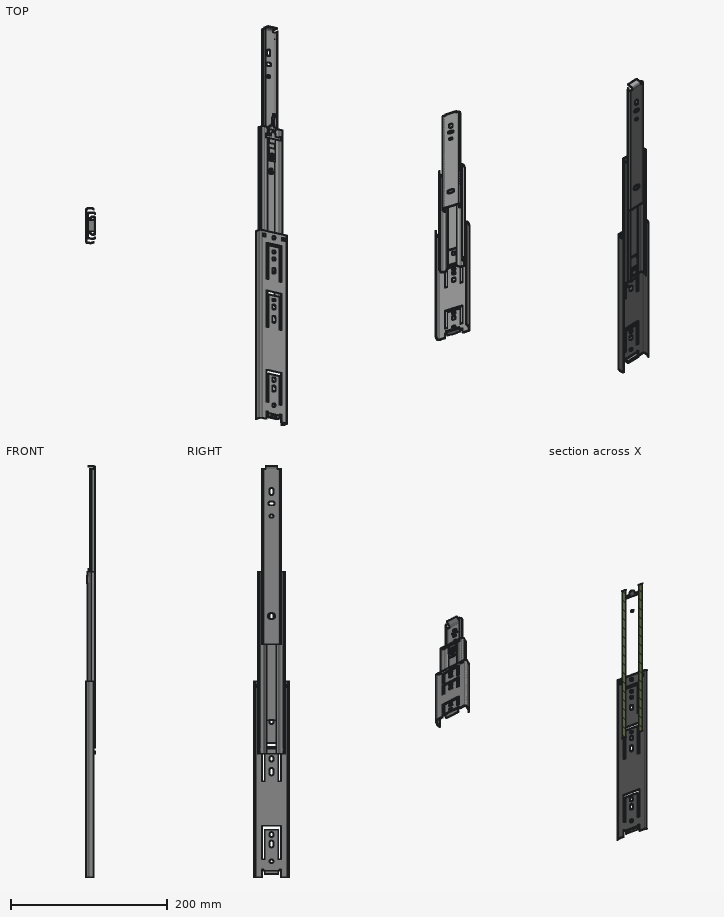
import cadquery as cq
import math


SLIDE_LENGTH = 525.0
SLIDE_DEPTH = 12.0
SHEET = 1.2
RACE_BULGE = 0.3
BEND_SHARE = math.tan(math.pi / 8)
BEVEL_RUN = SHEET * BEND_SHARE

OUTER_WIDTH = 45.5
OUTER_HALF_WIDTH = OUTER_WIDTH / 2
OUTER_TOP = 250.5
OUTER_CORNER = 2.5
OUTER_RACE_START = 3.5
OUTER_RACE_END = 8.5
OUTER_LIP_END = 10.5
OUTER_LIP_TURN = 1.0

MIDDLE_BACK = 2.0
MIDDLE_HALF_WIDTH = 17.5
MIDDLE_BOTTOM = 157.5
MIDDLE_TOP = 390.0
MIDDLE_CORNER = 2.5
CHANNEL_HALF_WIDTH = 6.0
CHANNEL_DEPTH = 3.5
CHANNEL_FLOOR = MIDDLE_BACK + CHANNEL_DEPTH
CHANNEL_BEND = 2.5
MIDDLE_RACE_START = 7.0
MIDDLE_RACE_TURN = 1.0

INNER_HALF_WIDTH = 12.0
INNER_EDGE = 5.0
INNER_FLANGE_TURN = 2.0
INNER_CORNER_TURN = 1.0
INNER_SHOULDER = 521.5
INNER_BOTTOM = MIDDLE_TOP - (OUTER_TOP - MIDDLE_BOTTOM)
TAB_HALF_WIDTH = 7.5
TAB_EDGE = 3.0
TAB_BEND = 2.0

SCREW_HOLE = 4.5


def half_profile(start):
    """Section sketch in the XY plane, started on the symmetry line."""
    return cq.Workplane("XY").moveTo(*start)


def rail(half_section, bottom, top):
    """Extrude the +Y half of a section from bottom to top and add its mirror image."""
    half = half_section.close().extrude(top - bottom).translate((0, 0, bottom))
    return half.union(half.mirror("XZ")).clean()


def corner_middle(center_x, center_y, radius):
    """Middle point of the arc that rounds a corner on the -X, +Y side of its centre."""
    reach = radius * math.sqrt(0.5)
    return (center_x - reach, center_y + reach)


def block(x_range, y_range, z_range):
    """Box given by its limits along each axis."""
    limits = (x_range, y_range, z_range)
    size = [high - low for low, high in limits]
    return cq.Workplane("XY").box(*size, centered=False).translate([low for low, _ in limits])


def through(z, width, height):
    """Cutter along X at height z: round, or long with round ends."""
    plane = cq.Workplane("YZ").center(0, z)
    if width == height:
        sketch = plane.circle(width / 2)
    elif height > width:
        sketch = plane.slot2D(height, width, 90)
    else:
        sketch = plane.slot2D(width, height)
    return sketch.extrude(SLIDE_DEPTH)


def cut_holes(body, holes):
    for z, width, height in holes:
        body = body.cut(through(z, width, height))
    return body


WINDOW_HALF_WIDTH = 12.0
TONGUE_HALF_WIDTH = 9.0
WINDOWS = [(234.5, 232.0, 187.0), (171.0, 166.5, 123.0), (65.5, 61.0, 23.0)]
OUTER_HOLES = [
    (243.5, SCREW_HOLE, SCREW_HOLE),
    (224.5, SCREW_HOLE, SCREW_HOLE),
    (215.0, SCREW_HOLE, SCREW_HOLE),
    (199.5, SCREW_HOLE, 8.0),
    (160.5, SCREW_HOLE, 3.0),
    (151.0, SCREW_HOLE, 7.0),
    (135.0, SCREW_HOLE, 9.5),
    (54.5, SCREW_HOLE, 6.5),
    (42.5, SCREW_HOLE, 8.5),
    (20.5, SCREW_HOLE, SCREW_HOLE),
]
SIDE_HOLE_Y = (13.5, 18.0)
SIDE_HOLE_Z = (242.5, 246.0)
NOTCH_TOP = 8.5
NOTCH_RELIEF = 2.0
NOTCH_RELIEF_RISE = 1.5


def outer_section():
    outside = OUTER_HALF_WIDTH - RACE_BULGE
    inside = outside - SHEET
    race_middle = (OUTER_RACE_START + OUTER_RACE_END) / 2
    corner_y = outside - OUTER_CORNER
    return (
        half_profile((0, 0))
        .lineTo(0, corner_y)
        .threePointArc(corner_middle(OUTER_CORNER, corner_y, OUTER_CORNER), (OUTER_CORNER, outside))
        .lineTo(OUTER_RACE_START, outside)
        .threePointArc((race_middle, OUTER_HALF_WIDTH), (OUTER_RACE_END, outside))
        .lineTo(OUTER_LIP_END, outside - OUTER_LIP_TURN)
        .lineTo(OUTER_LIP_END, inside - OUTER_LIP_TURN)
        .lineTo(OUTER_RACE_END, inside)
        .threePointArc((race_middle, inside + RACE_BULGE), (OUTER_RACE_START, inside))
        .lineTo(OUTER_CORNER, inside)
        .threePointArc(corner_middle(OUTER_CORNER, corner_y, OUTER_CORNER - SHEET), (SHEET, corner_y))
        .lineTo(SHEET, 0)
    )


def window(top, tongue_top, bottom):
    """U-shaped cut that leaves a tongue standing from its lower end."""
    depth = (0, SHEET)
    opening = block(depth, (-WINDOW_HALF_WIDTH, WINDOW_HALF_WIDTH), (bottom, top))
    tongue = block(depth, (-TONGUE_HALF_WIDTH, TONGUE_HALF_WIDTH), (bottom, tongue_top))
    return opening.cut(tongue)


def make_outer_rail():
    body = rail(outer_section(), 0, OUTER_TOP)
    for limits in WINDOWS:
        body = body.cut(window(*limits))
    body = cut_holes(body, OUTER_HOLES)
    body = body.cut(block((0, SHEET), (-WINDOW_HALF_WIDTH, WINDOW_HALF_WIDTH), (0, NOTCH_TOP)))
    relief_y = (WINDOW_HALF_WIDTH - NOTCH_RELIEF, WINDOW_HALF_WIDTH)
    relief = block((0, SHEET), relief_y, (0, NOTCH_TOP + NOTCH_RELIEF_RISE))
    side_hole = block((0, SHEET), SIDE_HOLE_Y, SIDE_HOLE_Z)
    for cutter in (relief, side_hole):
        body = body.cut(cutter).cut(cutter.mirror("XZ"))
    return body


RIVET_Z = 353.0
RIVET_SHANK_RADIUS = 2.0
CENTRAL_SLOT_TOP = 200.5
CENTRAL_SLOT_BOTTOM = 164.0
LIP_NOTCH_Z = (160.5, 165.5)
LIP_NOTCH_START = 10.0
ACCESS_HOLE_Z = 333.5
ACCESS_HOLE_HEIGHT = 8.0
CROSS_SLOT_Z = 332.5
CROSS_SLOT_WIDTH = 9.5
CROSS_SLOT_HEIGHT = 2.0


def middle_section():
    web_front = MIDDLE_BACK + SHEET
    outside = MIDDLE_HALF_WIDTH - RACE_BULGE
    inside = outside - SHEET
    corner_x = MIDDLE_BACK + MIDDLE_CORNER
    corner_y = outside - MIDDLE_CORNER
    race_middle = (MIDDLE_RACE_START + SLIDE_DEPTH) / 2
    bend_y = CHANNEL_HALF_WIDTH + CHANNEL_DEPTH + CHANNEL_BEND * BEND_SHARE
    bend_x = MIDDLE_BACK + CHANNEL_BEND

    def on_bend(radius, angle):
        """Point on the bend, at an angle in degrees from the web."""
        turn = math.radians(angle)
        return (bend_x - radius * math.cos(turn), bend_y - radius * math.sin(turn))

    bend_inside = CHANNEL_BEND - SHEET
    return (
        half_profile((CHANNEL_FLOOR, 0))
        .lineTo(CHANNEL_FLOOR, CHANNEL_HALF_WIDTH)
        .lineTo(*on_bend(CHANNEL_BEND, 45))
        .threePointArc(on_bend(CHANNEL_BEND, 22.5), (MIDDLE_BACK, bend_y))
        .lineTo(MIDDLE_BACK, corner_y)
        .threePointArc(corner_middle(corner_x, corner_y, MIDDLE_CORNER), (corner_x, outside))
        .lineTo(MIDDLE_RACE_START, outside)
        .threePointArc((race_middle, MIDDLE_HALF_WIDTH), (SLIDE_DEPTH, outside - MIDDLE_RACE_TURN))
        .lineTo(SLIDE_DEPTH, inside - MIDDLE_RACE_TURN)
        .threePointArc((race_middle, inside + RACE_BULGE), (MIDDLE_RACE_START, inside))
        .lineTo(corner_x, inside)
        .threePointArc(corner_middle(corner_x, corner_y, MIDDLE_CORNER - SHEET), (web_front, corner_y))
        .lineTo(web_front, bend_y)
        .threePointArc(on_bend(bend_inside, 22.5), on_bend(bend_inside, 45))
        .lineTo(CHANNEL_FLOOR + SHEET, CHANNEL_HALF_WIDTH + BEVEL_RUN)
        .lineTo(CHANNEL_FLOOR + SHEET, 0)
    )


def make_middle_rail():
    body = rail(middle_section(), MIDDLE_BOTTOM, MIDDLE_TOP)
    slot_y = (-CHANNEL_HALF_WIDTH, CHANNEL_HALF_WIDTH)
    body = body.cut(block((0, SLIDE_DEPTH), slot_y, (CENTRAL_SLOT_BOTTOM, CENTRAL_SLOT_TOP)))
    lip_x = (LIP_NOTCH_START, SLIDE_DEPTH)
    body = body.cut(block(lip_x, (-MIDDLE_HALF_WIDTH, MIDDLE_HALF_WIDTH), LIP_NOTCH_Z))
    rivet_hole = 2 * RIVET_SHANK_RADIUS
    holes = [
        (ACCESS_HOLE_Z, SCREW_HOLE, ACCESS_HOLE_HEIGHT),
        (CROSS_SLOT_Z, CROSS_SLOT_WIDTH, CROSS_SLOT_HEIGHT),
        (RIVET_Z, rivet_hole, rivet_hole),
    ]
    return cut_holes(body, holes)


INNER_HOLES = [
    (492.5, SCREW_HOLE, 9.0),
    (477.0, 8.0, SCREW_HOLE),
    (461.0, SCREW_HOLE, 3.5),
    (ACCESS_HOLE_Z, CROSS_SLOT_WIDTH, ACCESS_HOLE_HEIGHT),
]


def inner_section():
    front = SLIDE_DEPTH
    outside = INNER_HALF_WIDTH - RACE_BULGE
    turn_end = INNER_EDGE + INNER_FLANGE_TURN
    edge_y = outside - INNER_FLANGE_TURN
    race_middle = (turn_end + front) / 2
    inside = outside - SHEET
    web_back = front - SHEET
    return (
        half_profile((front, 0))
        .lineTo(front, outside - INNER_CORNER_TURN)
        .threePointArc((race_middle, INNER_HALF_WIDTH), (turn_end, outside))
        .lineTo(INNER_EDGE, edge_y)
        .lineTo(INNER_EDGE + SHEET, edge_y - BEVEL_RUN)
        .lineTo(turn_end + BEVEL_RUN, inside)
        .threePointArc((race_middle, inside + RACE_BULGE), (web_back, inside - INNER_CORNER_TURN))
        .lineTo(web_back, 0)
    )


def end_tab():
    """Top end of the web, bent over towards the back."""
    side = (
        cq.Workplane("XZ")
        .moveTo(SLIDE_DEPTH, INNER_SHOULDER)
        .lineTo(SLIDE_DEPTH, SLIDE_LENGTH - TAB_BEND)
        .radiusArc((SLIDE_DEPTH - TAB_BEND, SLIDE_LENGTH), -TAB_BEND)
        .lineTo(TAB_EDGE, SLIDE_LENGTH)
        .lineTo(TAB_EDGE, SLIDE_LENGTH - SHEET)
        .lineTo(SLIDE_DEPTH - TAB_BEND, SLIDE_LENGTH - SHEET)
        .radiusArc((SLIDE_DEPTH - SHEET, SLIDE_LENGTH - TAB_BEND), TAB_BEND - SHEET)
        .lineTo(SLIDE_DEPTH - SHEET, INNER_SHOULDER)
        .close()
    )
    return side.extrude(TAB_HALF_WIDTH, both=True)


def make_inner_rail():
    body = rail(inner_section(), INNER_BOTTOM, INNER_SHOULDER).union(end_tab())
    return cut_holes(body, INNER_HOLES)


PLATE_BACK = 3.95
PLATE_HALF_WIDTH = 5.0
PLATE_BOTTOM = 347.0
PLATE_STEP_BACK = 4.5
PLATE_STEP_Z = (364.0, 370.0)
HEAD_BACK = 3.0
HEAD_Z = (388.0, 391.5)
POST_HALF_WIDTH = 3.0
POST_TOP = 394.0
ARM_DEPTH = 1.5
ARM_OUTLINE = [
    (1.0, 392.5),
    (-1.0, 397.0),
    (-1.0, 405.5),
    (-2.5, 406.0),
    (-2.5, 410.5),
    (-5.0, 410.5),
    (-6.5, 407.5),
    (-4.0, 403.5),
    (-4.0, 392.5),
]


def make_latch_lever():
    sides = (-PLATE_HALF_WIDTH, PLATE_HALF_WIDTH)
    body = block((PLATE_BACK, CHANNEL_FLOOR), sides, (PLATE_BOTTOM, HEAD_Z[0]))
    body = body.cut(block((PLATE_BACK, PLATE_STEP_BACK), sides, PLATE_STEP_Z))
    body = body.union(block((HEAD_BACK, CHANNEL_FLOOR), sides, HEAD_Z))
    post_y = (-POST_HALF_WIDTH, POST_HALF_WIDTH)
    body = body.union(block((HEAD_BACK, CHANNEL_FLOOR), post_y, (HEAD_Z[1], POST_TOP)))
    arm_back = CHANNEL_FLOOR - ARM_DEPTH / 2
    arm = cq.Workplane("YZ", origin=(arm_back, 0, 0)).polyline(ARM_OUTLINE).close()
    body = body.union(arm.extrude(ARM_DEPTH))
    rivet_hole = 2 * RIVET_SHANK_RADIUS
    return body.cut(through(RIVET_Z, rivet_hole, rivet_hole))


RIVET_HEAD_RADIUS = 3.95
RIVET_HEAD_HEIGHT = 1.5


def make_rivet():
    head_top = PLATE_BACK - RIVET_HEAD_HEIGHT
    shank_end = CHANNEL_FLOOR + SHEET
    half = (
        cq.Workplane("XY")
        .moveTo(head_top, 0)
        .lineTo(head_top, RIVET_SHANK_RADIUS)
        .lineTo(PLATE_BACK, RIVET_HEAD_RADIUS)
        .lineTo(PLATE_BACK, RIVET_SHANK_RADIUS)
        .lineTo(shank_end, RIVET_SHANK_RADIUS)
        .lineTo(shank_end, 0)
        .close()
    )
    return half.revolve(360, (0, 0, 0), (1, 0, 0)).translate((0, 0, RIVET_Z))


STOP_THICKNESS = 0.8
STOP_HALF_WIDTH = 12.0
STOP_Z = (375.5, 379.0)
STOP_EAR_TOP = 380.5
STOP_EAR_WIDTH = 1.5
STOP_DOME_HALF_WIDTH = 3.5
STOP_DOME_TOP = 385.0


def make_stop_plate():
    low, high = STOP_Z
    dome_side = STOP_DOME_TOP - STOP_DOME_HALF_WIDTH
    ear_inside = STOP_HALF_WIDTH - STOP_EAR_WIDTH
    outline = (
        cq.Workplane("YZ", origin=(MIDDLE_BACK - STOP_THICKNESS, 0, 0))
        .moveTo(-STOP_HALF_WIDTH, low)
        .lineTo(STOP_HALF_WIDTH, low)
        .lineTo(STOP_HALF_WIDTH, STOP_EAR_TOP)
        .lineTo(ear_inside, STOP_EAR_TOP)
        .lineTo(ear_inside, high)
        .lineTo(STOP_DOME_HALF_WIDTH, high)
        .lineTo(STOP_DOME_HALF_WIDTH, dome_side)
        .threePointArc((0, STOP_DOME_TOP), (-STOP_DOME_HALF_WIDTH, dome_side))
        .lineTo(-STOP_DOME_HALF_WIDTH, high)
        .lineTo(-ear_inside, high)
        .lineTo(-ear_inside, STOP_EAR_TOP)
        .lineTo(-STOP_HALF_WIDTH, STOP_EAR_TOP)
        .close()
    )
    return outline.extrude(STOP_THICKNESS)


BUMPER_HALF_WIDTH = 9.0
BUMPER_BOTTOM = 4.0
BUMPER_X = (0.5, 5.0)
BUMPER_PAD_HALF_WIDTH = 4.0
BUMPER_PAD_TOP = 7.0


def make_end_bumper():
    bar = block(BUMPER_X, (-BUMPER_HALF_WIDTH, BUMPER_HALF_WIDTH), (BUMPER_BOTTOM, NOTCH_TOP))
    pad_y = (-BUMPER_PAD_HALF_WIDTH, BUMPER_PAD_HALF_WIDTH)
    return bar.union(block((0, BUMPER_X[1]), pad_y, (BUMPER_BOTTOM, BUMPER_PAD_TOP)))


outer_rail = make_outer_rail()
middle_rail = make_middle_rail()
inner_rail = make_inner_rail()
latch_lever = make_latch_lever()
rivet = make_rivet()
stop_plate = make_stop_plate()
end_bumper = make_end_bumper()

result = cq.Compound.makeCompound([
    outer_rail.val(),
    middle_rail.val(),
    inner_rail.val(),
    latch_lever.val(),
    rivet.val(),
    stop_plate.val(),
    end_bumper.val(),
])